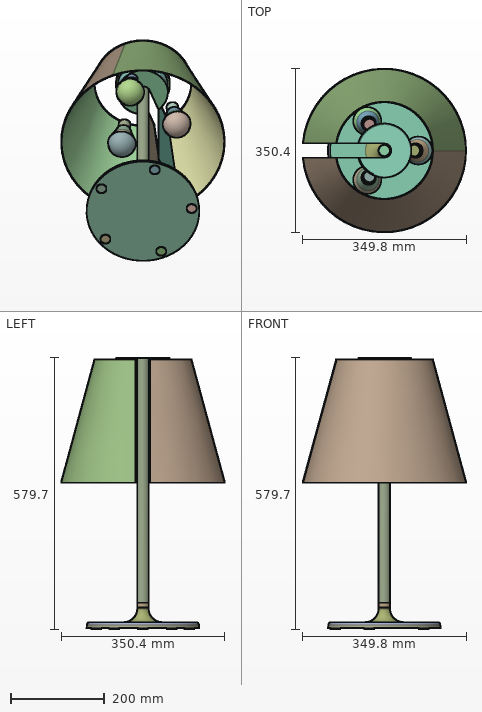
import cadquery as cq
import math

total_height = 579.7

foot_height = 2.0
foot_radius = 10.7
foot_circle_radius = 104.5
foot_count = 5
plate_radius = 120.8
plate_top = 15.0
plate_side_taper = 0.8
plate_edge_height = 5.3
plate_edge_width = 4.2
plate_edge_bulge = 0.7
stem_radius = 12.5
flare_top = 43.5
flare_radius = flare_top - plate_top
groove_height = 3.6
groove_depth = 0.6
stem_top = 56.5

shade_bottom = 312.5
shade_top = 577.0
shade_bottom_radius = 175.215
shade_top_radius = 104.5
shade_thickness = 1.5
shade_rim_height = 1.8
slot_wall_thickness = 1.0
slot_half_width = 15.0

cap_radius = 57.9
cap_thickness = 11.0
cap_edge_round = 2.0
drum_radius = 53.5
holder_bottom = 535.0

bulb_count = 3
bulb_lean = 7.5
bulb_end_offset = 63.4
bulb_end_height = 485.0
bulb_screw_radius = 12.8
bulb_screw_length = 26.0
bulb_neck_radius = 15.5
bulb_shoulder_radius = 24.0
bulb_shoulder_depth = 55.0
bulb_globe_radius = 30.0
bulb_globe_depth = 72.0


def make_base():
    """Plate with a rounded rim, a concave flare and a grooved stem, standing on feet."""
    edge_outer = plate_radius - plate_side_taper
    edge_inner = edge_outer - plate_edge_width
    edge_bottom = plate_top - plate_edge_height
    edge_bulge = plate_edge_bulge * math.sqrt(0.5)
    flare_mid = flare_radius * (1 - math.sqrt(0.5))
    groove_top = flare_top + groove_height
    body = (
        cq.Workplane("XZ")
        .moveTo(0, foot_height)
        .lineTo(plate_radius, foot_height)
        .lineTo(edge_outer, edge_bottom)
        .threePointArc(
            ((edge_outer + edge_inner) / 2 + edge_bulge, (edge_bottom + plate_top) / 2 + edge_bulge),
            (edge_inner, plate_top),
        )
        .lineTo(stem_radius + flare_radius, plate_top)
        .threePointArc(
            (stem_radius + flare_mid, plate_top + flare_mid),
            (stem_radius, flare_top),
        )
        .lineTo(stem_radius - groove_depth, flare_top + groove_height / 2)
        .lineTo(stem_radius, groove_top)
        .lineTo(stem_radius, stem_top)
        .lineTo(0, stem_top)
        .close()
        .revolve(360, (0, 0), (0, 1))
    )
    feet = (
        cq.Workplane("XY")
        .polarArray(foot_circle_radius, 180, 360, foot_count)
        .circle(foot_radius)
        .extrude(foot_height)
    )
    return body.union(feet)


def make_pole():
    """Round pole from the stem to the top of the lamp."""
    pole_length = total_height - stem_top
    return cq.Workplane("XY").workplane(offset=stem_top).circle(stem_radius).extrude(pole_length)


def cone(bottom_radius, top_radius):
    """Solid cone frustum over the height of the shade, with a short straight rim at each end."""
    return (
        cq.Workplane("XZ")
        .moveTo(0, shade_bottom)
        .lineTo(bottom_radius, shade_bottom)
        .lineTo(bottom_radius, shade_bottom + shade_rim_height)
        .lineTo(top_radius, shade_top - shade_rim_height)
        .lineTo(top_radius, shade_top)
        .lineTo(0, shade_top)
        .close()
        .revolve(360, (0, 0), (0, 1))
    )


def slot_block(half_width):
    """Full-height block from the -X side to the axis, rounded around the axis."""
    height = total_height
    length = 2 * shade_bottom_radius
    arm = cq.Workplane("XY").center(-length / 2, 0).rect(length, 2 * half_width).extrude(height)
    rounded_end = cq.Workplane("XY").circle(half_width).extrude(height)
    return arm.union(rounded_end)


def make_shade():
    """Cone shell whose cut edges fold inward as walls on both sides of the slot."""
    outer = cone(shade_bottom_radius, shade_top_radius)
    inner = cone(shade_bottom_radius - shade_thickness, shade_top_radius - shade_thickness)
    drum_space = cq.Workplane("XY").circle(drum_radius).extrude(total_height)
    walls = outer.intersect(slot_block(slot_half_width + slot_wall_thickness)).cut(drum_space)
    return outer.cut(inner).union(walls).cut(slot_block(slot_half_width))


def make_holder():
    """Drum with a wider round-edged cap, slotted to straddle the pole."""
    drum_height = total_height - holder_bottom
    drum = cq.Workplane("XY").workplane(offset=holder_bottom).circle(drum_radius).extrude(drum_height)
    cap = (
        cq.Workplane("XY")
        .workplane(offset=total_height - cap_thickness)
        .circle(cap_radius)
        .extrude(cap_thickness)
        .faces(">Z")
        .edges()
        .fillet(cap_edge_round)
    )
    return drum.union(cap).cut(slot_block(slot_half_width))


def make_bulb(angle):
    """Bulb with a flat screw end at the top and a round globe below."""
    globe_diagonal = bulb_globe_radius * math.sqrt(0.5)
    bulb = (
        cq.Workplane("XZ")
        .lineTo(bulb_screw_radius, 0)
        .lineTo(bulb_screw_radius, -bulb_screw_length)
        .lineTo(bulb_neck_radius, -bulb_screw_length)
        .lineTo(bulb_shoulder_radius, -bulb_shoulder_depth)
        .lineTo(bulb_globe_radius, -bulb_globe_depth)
        .threePointArc(
            (globe_diagonal, -bulb_globe_depth - globe_diagonal),
            (0, -bulb_globe_depth - bulb_globe_radius),
        )
        .close()
        .revolve(360, (0, 0), (0, 1))
    )
    return (
        bulb.rotate((0, 0, 0), (0, 1, 0), -bulb_lean)
        .translate((bulb_end_offset, 0, bulb_end_height))
        .rotate((0, 0, 0), (0, 0, 1), angle)
    )


base = make_base()
pole = make_pole()
shade = make_shade()
holder = make_holder()
bulbs = [make_bulb(i * 360 / bulb_count) for i in range(bulb_count)]

result = cq.Compound.makeCompound(
    [base.val(), pole.val(), shade.val(), holder.val(), *[bulb.val() for bulb in bulbs]]
)